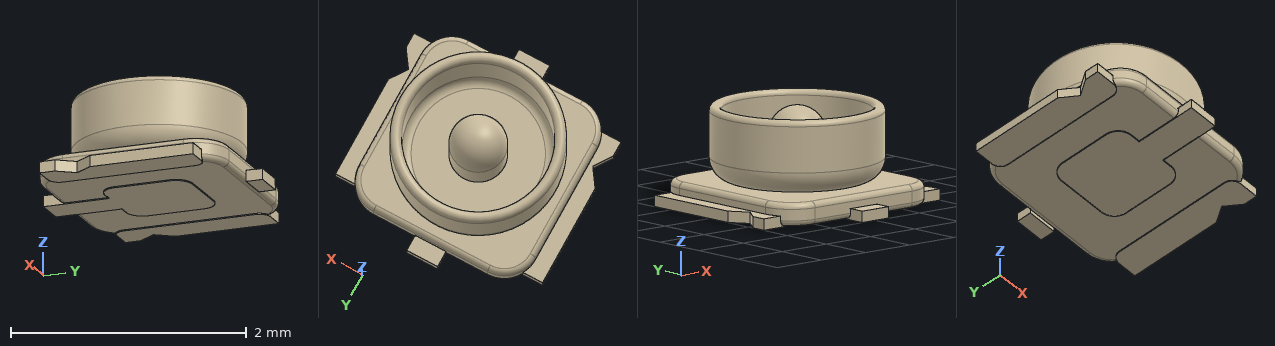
import cadquery as cq

span = 2.0
height = 0.86

plate_size = 1.7
plate_bottom = 0.01
plate_top = 0.21
plate_corner_radius = 0.3
plate_edge_radius = 0.05

cup_radius = 0.75
cup_wall = 0.1
cup_bore_radius = cup_radius - cup_wall
cup_foot_radius = 0.2
cup_floor = 0.25
cup_floor_radius = 0.08
rim_radius = cup_wall / 2

tab_thickness = 0.1
end_tab_width = 0.3
side_tab_length = 1.4
side_tab_inner_x = 0.7
side_tab_corner_radius = 0.1
notch_y = -0.4
notch_half_width = 0.16
notch_depth = 0.11

pin_radius = 0.25
pin_top = 0.85
pad_width = 0.8
pad_corner_radius = 0.15


def block(x_min, x_max, y_min, y_max, z_min, z_max):
    """Box given by its limits along each axis."""
    return cq.Workplane("XY").box(
        x_max - x_min, y_max - y_min, z_max - z_min, centered=False
    ).translate((x_min, y_min, z_min))


def make_plate():
    """Square plate with rounded corners and rounded top and bottom edges."""
    return (
        cq.Workplane("XY", origin=(0, 0, plate_bottom))
        .rect(plate_size, plate_size)
        .extrude(plate_top - plate_bottom)
        .edges("|Z")
        .fillet(plate_corner_radius)
        .faces("<Z or >Z")
        .edges()
        .fillet(plate_edge_radius)
    )


def make_cup():
    """Open cup with a rounded foot, a fully rounded rim and a rounded floor corner."""
    rim_start = height - rim_radius
    rim_centre = cup_radius - rim_radius
    return (
        cq.Workplane("XZ")
        .moveTo(0, plate_top)
        .lineTo(cup_radius - cup_foot_radius, plate_top)
        .radiusArc((cup_radius, plate_top + cup_foot_radius), -cup_foot_radius)
        .lineTo(cup_radius, rim_start)
        .threePointArc((rim_centre, height), (cup_bore_radius, rim_start))
        .lineTo(cup_bore_radius, cup_floor + cup_floor_radius)
        .radiusArc((cup_bore_radius - cup_floor_radius, cup_floor), cup_floor_radius)
        .lineTo(0, cup_floor)
        .close()
        .revolve(360, (0, 0, 0), (0, 1, 0))
    )


def make_side_tab():
    """Long solder tab on the +X side, with a V notch in its outer edge."""
    half_length = side_tab_length / 2
    outer_x = span / 2
    tab = (
        block(side_tab_inner_x, outer_x, -half_length, half_length, 0, tab_thickness)
        .edges("|Z and <X")
        .fillet(side_tab_corner_radius)
    )
    notch = (
        cq.Workplane("XY")
        .moveTo(outer_x, notch_y - notch_half_width)
        .lineTo(outer_x - notch_depth, notch_y)
        .lineTo(outer_x, notch_y + notch_half_width)
        .close()
        .extrude(tab_thickness)
    )
    return tab.cut(notch)


def make_rear_tab():
    """Short tab standing out from the +Y side of the plate."""
    return block(
        -end_tab_width / 2, end_tab_width / 2, plate_size / 2, span / 2, 0, tab_thickness
    )


def make_contact():
    """Centre contact: round-topped pin on a pad that runs out to the front tab."""
    dome_start = pin_top - pin_radius
    pin = cq.Workplane("XY").circle(pin_radius).extrude(dome_start)
    dome = cq.Workplane("XY", origin=(0, 0, dome_start)).sphere(pin_radius)
    pad = (
        cq.Workplane("XY")
        .rect(pad_width, pad_width)
        .extrude(tab_thickness)
        .edges("|Z")
        .fillet(pad_corner_radius)
    )
    front_tab = block(-end_tab_width / 2, end_tab_width / 2, -span / 2, 0, 0, tab_thickness)
    return pin.union(dome).union(pad).union(front_tab)


def make_housing(contact):
    """Plate, cup and ground tabs, with a recess that matches the centre contact."""
    side_tab = make_side_tab()
    return (
        make_plate()
        .union(make_cup())
        .union(side_tab)
        .union(side_tab.mirror("YZ"))
        .union(make_rear_tab())
        .cut(contact)
    )


contact = make_contact()
housing = make_housing(contact)

result = cq.Compound.makeCompound([*housing.solids().vals(), *contact.solids().vals()])